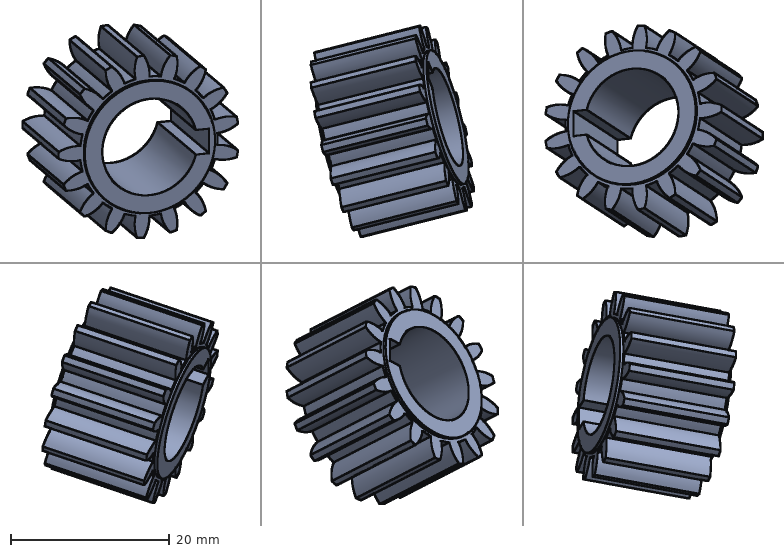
import cadquery as cq
import math

tooth_count = 17
overall_height = 24.1
root_radius = 9.2
total_width = 14.72
hub_step = 0.4
face_width = total_width - 2 * hub_step
hub_radius = 8.72
bore_radius = 6.35

keyway_width = 3.25
keyway_reach = 7.93

root_half_thickness = 0.95
flank_radius = 10.62
flank_half_thickness = 0.92
tip_half_thickness = 0.45

lean = math.radians(360 / tooth_count / 4)
tip_corner_reach = (overall_height / 2 - tip_half_thickness * math.sin(lean)) / math.cos(lean)
tip_radius = math.hypot(tip_corner_reach, tip_half_thickness)


def disc(radius, width):
    """Cylinder about X, centred on the origin."""
    return cq.Workplane("YZ", origin=(-width / 2, 0, 0)).circle(radius).extrude(width)


def make_tooth():
    """Tooth pointing along -Y, starting inside the root cylinder."""
    root_y = -math.sqrt(root_radius**2 - root_half_thickness**2)
    tip_y = -tip_corner_reach
    return (
        cq.Workplane("YZ", origin=(-face_width / 2, 0, 0))
        .moveTo(-hub_radius, -root_half_thickness)
        .lineTo(root_y, -root_half_thickness)
        .threePointArc((-flank_radius, -flank_half_thickness), (tip_y, -tip_half_thickness))
        .threePointArc((-tip_radius, 0), (tip_y, tip_half_thickness))
        .threePointArc((-flank_radius, flank_half_thickness), (root_y, root_half_thickness))
        .lineTo(-hub_radius, root_half_thickness)
        .close()
        .extrude(face_width)
    )


gear = disc(root_radius, face_width).union(disc(hub_radius, total_width))
tooth = make_tooth()
for index in range(tooth_count):
    angle = index * 360 / tooth_count
    gear = gear.union(tooth.rotate((0, 0, 0), (1, 0, 0), angle))

keyway = cq.Workplane("XY").box(
    total_width, keyway_reach, keyway_width, centered=(True, False, True)
)
result = gear.cut(disc(bore_radius, total_width)).cut(keyway)